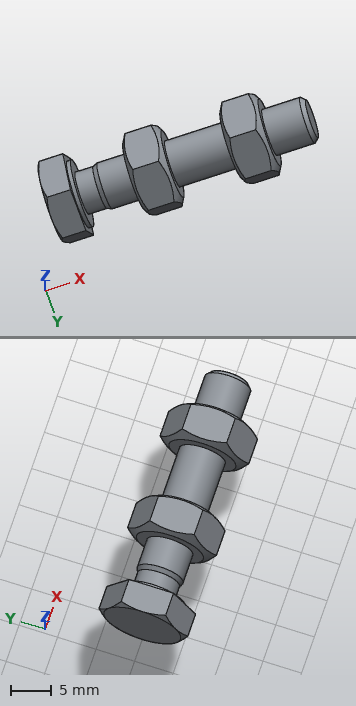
import cadquery as cq
import math


ACROSS_FLATS = 10.0
ACROSS_CORNERS = ACROSS_FLATS / math.cos(math.radians(30))
BEVEL_ANGLE = 30

BOLT_LENGTH = 34.0
HEAD_HEIGHT = 3.5
HEAD_FACE_DIAMETER = ACROSS_FLATS
COLLAR_DIAMETER = 8.7
COLLAR_END = 4.0
NECK_DIAMETER = 5.47
NECK_END = 6.35
SHANK_DIAMETER = 6.0
SHANK_START = 6.97
TIP_DIAMETER = 4.93
TIP_CHAMFER_LENGTH = 0.58

NUT_HEIGHT = 5.0
NUT_FACE_DIAMETER = 8.7
FIRST_NUT_START = 10.8
NUT_PITCH = 12.68
NUT_COUNT = 2


def revolve_about_x(profile):
    """Revolve an outline of (x, radius) points about the X axis."""
    return cq.Workplane("XY").polyline(profile).close().revolve(360, (0, 0, 0), (1, 0, 0))


def beveled_hexagon(height, face_diameter, bevel_both_ends):
    """Hexagonal prism from X = 0, its corners cut by a cone at one or both ends."""
    prism = cq.Workplane("YZ").polygon(6, ACROSS_CORNERS).extrude(height)
    face_radius = face_diameter / 2
    outer_radius = ACROSS_CORNERS
    rim_setback = (outer_radius - face_radius) * math.tan(math.radians(BEVEL_ANGLE))
    bevel_cutter = revolve_about_x([
        (0, face_radius),
        (0, outer_radius),
        (rim_setback, outer_radius),
    ])
    hexagon = prism.cut(bevel_cutter)
    if bevel_both_ends:
        far_cutter = bevel_cutter.mirror("YZ").translate((height, 0, 0))
        hexagon = hexagon.cut(far_cutter)
    return hexagon


def make_bolt():
    """Hexagon head, collar, reduced neck and shank with a chamfered tip."""
    head = beveled_hexagon(HEAD_HEIGHT, HEAD_FACE_DIAMETER, bevel_both_ends=False)
    stem = revolve_about_x([
        (HEAD_HEIGHT, 0),
        (HEAD_HEIGHT, COLLAR_DIAMETER / 2),
        (COLLAR_END, COLLAR_DIAMETER / 2),
        (COLLAR_END, NECK_DIAMETER / 2),
        (NECK_END, NECK_DIAMETER / 2),
        (SHANK_START, SHANK_DIAMETER / 2),
        (BOLT_LENGTH - TIP_CHAMFER_LENGTH, SHANK_DIAMETER / 2),
        (BOLT_LENGTH, TIP_DIAMETER / 2),
        (BOLT_LENGTH, 0),
    ])
    return head.union(stem)


def make_nut(start):
    """Nut beveled at both ends, with a bore that fits the shank."""
    body = beveled_hexagon(NUT_HEIGHT, NUT_FACE_DIAMETER, bevel_both_ends=True)
    bore = cq.Workplane("YZ").circle(SHANK_DIAMETER / 2).extrude(NUT_HEIGHT)
    return body.cut(bore).translate((start, 0, 0))


bolt = make_bolt()
nuts = [make_nut(FIRST_NUT_START + index * NUT_PITCH) for index in range(NUT_COUNT)]

result = cq.Compound.makeCompound([bolt.solids().val(), *[nut.solids().val() for nut in nuts]])